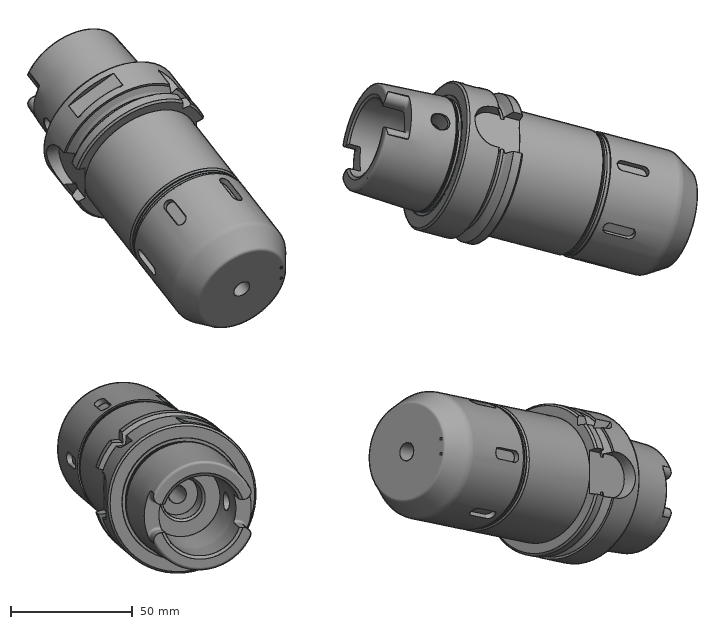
import cadquery as cq
import math


total_length = 142.0
through_hole_d = 7.5

flange_start = 32.0
shank_end_r = 22.9
shank_taper = 0.05
shank_end_fillet = 1.1
root_groove_start = 30.0
root_groove_depth = 0.5
root_groove_floor_length = 0.4
root_land_r = 24.1
face_relief_r = 25.5
face_relief_depth = 0.4

bore_mouth_r = 18.2
bore_r = 16.9
mouth_chamfer_length = 0.7
bore_straight_end = 13.2
bore_floor_x = 31.2
bore_floor_r = 15.8
tube_seat_mouth_r = 9.5
tube_seat_r = 8.5
tube_seat_chamfer = 1.0
tube_seat_depth = 8.5

drive_slot_half_width = 6.0
drive_slot_front_depth = 10.1
drive_slot_back_depth = 6.0
drive_slot_lip_r = 3.1
drive_slot_floor_fillet = 1.1

shank_hole_d = 7.5
shank_hole_mouth_d = 8.5
shank_hole_x = 22.9

flange_r = 31.5
flange_width = 26.0
flange_end = flange_start + flange_width
flange_front_chamfer = 0.9
flange_rear_chamfer = 0.9
groove_left = 46.9
groove_right = 53.4
groove_lip_depth = 1.0
groove_shoulder_r = 28.1
groove_floor_r = 27.3
groove_flank_left = 1.5
groove_flank_right = 1.8
groove_floor_left = 49.4
groove_floor_right = 50.7

keyway_half_width = 9.0
keyway_floor_y = 26.3
keyway_end_x = 36.0
keyway_draft = 10.0

notch_floor_y = 19.9
notch_wall_z = 20.3

flat_start = 35.8
flat_end = 43.5
flat_distance = 29.4
flat_tilt = 21.8

body_d = 53.0
body_r = body_d / 2
body_end = 96.4
body_chamfer = 0.7
gap_end = 97.0
gap_r = 23.3
spigot_r = 19.9
spigot_end = 127.8

collar_r = 26.0
collar_end = 99.4
collar_step_x = 98.0
collar_step_depth = 0.1
nose_start = 131.8
nose_angle = 30.0
nose_shoulder_fillet = 4.5
nose_face_fillet = 1.4
stud_height = 0.1
nose_face_x = total_length - stud_height
stud_d = 1.1
stud_y = 18.6
stud_z = 3.1

wrench_slot_count = 6
wrench_slot_start = 102.4
wrench_slot_end = 116.7
wrench_slot_width = 4.8
wrench_slot_floor_r = 24.1

clearance = 14.2
selection_margin = 0.1


def revolve_about_x(points):
    """Solid of revolution from (x, radius) points that start and end on the axis."""
    return cq.Workplane("XY").polyline(points).close().revolve(360, (0, 0, 0), (1, 0, 0))


def cylinder_along_x(radius, start, end):
    return cq.Workplane("YZ", origin=(start, 0, 0)).circle(radius).extrude(end - start)


def tapered_shank():
    taper_end_r = shank_end_r + shank_taper * root_groove_start
    groove_r = taper_end_r - root_groove_depth
    floor_start = root_groove_start + root_groove_depth
    floor_end = floor_start + root_groove_floor_length
    shank = revolve_about_x([
        (0, 0),
        (0, shank_end_r),
        (root_groove_start, taper_end_r),
        (floor_start, groove_r),
        (floor_end, groove_r),
        (floor_end + root_land_r - groove_r, root_land_r),
        (flange_start + face_relief_depth, root_land_r),
        (flange_start + face_relief_depth, 0),
    ])
    return shank.faces("<X").edges().fillet(shank_end_fillet)


def gripper_flange():
    lip_r = flange_r - groove_lip_depth
    flange = revolve_about_x([
        (flange_start + face_relief_depth, 0),
        (flange_start + face_relief_depth, face_relief_r),
        (flange_start, face_relief_r),
        (flange_start, flange_r - flange_front_chamfer),
        (flange_start + flange_front_chamfer, flange_r),
        (groove_left, flange_r),
        (groove_left, lip_r),
        (groove_left + groove_flank_left, groove_shoulder_r),
        (groove_floor_left, groove_floor_r),
        (groove_floor_right, groove_floor_r),
        (groove_right - groove_flank_right, groove_shoulder_r),
        (groove_right, flange_r),
        (flange_end - flange_rear_chamfer, flange_r),
        (flange_end, flange_r - flange_rear_chamfer),
        (flange_end, 0),
    ])
    for side in (-1, 1):
        flange = flange.cut(keyway_cutter(side))
    return flange.cut(notch_cutter()).cut(flat_cutter())


def round_ended_profile(y, center_z):
    """Slot outline in a plane of constant y: round at the shank end, open past the flange."""
    arc_center_x = keyway_end_x + keyway_half_width
    open_end = flange_end + clearance
    return (
        cq.Workplane("XZ", origin=(0, y, 0))
        .moveTo(open_end, center_z - keyway_half_width)
        .lineTo(arc_center_x, center_z - keyway_half_width)
        .threePointArc((keyway_end_x, center_z), (arc_center_x, center_z + keyway_half_width))
        .lineTo(open_end, center_z + keyway_half_width)
        .close()
    )


def keyway_cutter(side):
    """Keyway on the +Y or -Y side; its walls open outward by the draft angle."""
    cutter = round_ended_profile(-keyway_floor_y, 0).extrude(clearance, taper=-keyway_draft)
    if side > 0:
        cutter = cutter.mirror("XZ")
    return cutter


def notch_cutter():
    profile = round_ended_profile(notch_floor_y, notch_wall_z + keyway_half_width)
    return profile.extrude(-clearance)


def flat_cutter():
    cutter = cq.Workplane("XY").box(
        flat_end - flat_start, 2 * flange_r, clearance, centered=(False, True, False)
    )
    return cutter.translate((flat_start, 0, flat_distance)).rotate((0, 0, 0), (1, 0, 0), flat_tilt)


def body_and_spigot():
    return revolve_about_x([
        (flange_start + face_relief_depth, 0),
        (flange_start + face_relief_depth, spigot_r),
        (flange_end, spigot_r),
        (flange_end, body_r),
        (body_end - body_chamfer, body_r),
        (body_end, body_r - body_chamfer),
        (body_end, gap_r),
        (gap_end, gap_r),
        (gap_end, spigot_r),
        (spigot_end, spigot_r),
        (spigot_end, 0),
    ])


def shank_bore():
    return revolve_about_x([
        (0, 0),
        (0, bore_mouth_r),
        (mouth_chamfer_length, bore_r),
        (bore_straight_end, bore_r),
        (bore_floor_x, bore_floor_r),
        (bore_floor_x, tube_seat_mouth_r),
        (bore_floor_x + tube_seat_chamfer, tube_seat_r),
        (bore_floor_x + tube_seat_depth, tube_seat_r),
        (bore_floor_x + tube_seat_depth, 0),
    ])


def drive_slot_cutter(side, depth):
    """Slot in the shank end whose walls flare outward through rounded lips."""
    half = drive_slot_half_width
    lip_center_z = half + drive_slot_lip_r
    lip_center_dist = shank_end_r - drive_slot_lip_r
    lip_center_y = math.sqrt(lip_center_dist**2 - lip_center_z**2)
    lip_angle = math.atan2(lip_center_z, lip_center_y)
    lip_end = (shank_end_r * math.cos(lip_angle), shank_end_r * math.sin(lip_angle))
    mid_angle = (lip_angle - math.pi / 2) / 2
    lip_mid = (
        lip_center_y + drive_slot_lip_r * math.cos(mid_angle),
        lip_center_z + drive_slot_lip_r * math.sin(mid_angle),
    )
    outer_y = shank_end_r + clearance
    cutter = (
        cq.Workplane("YZ")
        .moveTo(0, -half)
        .lineTo(lip_center_y, -half)
        .threePointArc((lip_mid[0], -lip_mid[1]), (lip_end[0], -lip_end[1]))
        .lineTo(outer_y, -lip_end[1])
        .lineTo(outer_y, lip_end[1])
        .lineTo(*lip_end)
        .threePointArc(lip_mid, (lip_center_y, half))
        .lineTo(0, half)
        .close()
        .extrude(depth)
    )
    floor_walls = cq.selectors.BoxSelector(
        (depth - selection_margin, selection_margin, -shank_end_r),
        (depth + selection_margin, shank_end_r - selection_margin, shank_end_r),
    )
    cutter = cutter.edges(floor_walls).fillet(drive_slot_floor_fillet)
    if side < 0:
        cutter = cutter.mirror("XZ")
    return cutter


def shank_hole_cutter():
    """Radial hole into the bore with a 45 degree countersink."""
    surface_r = shank_end_r + shank_taper * shank_hole_x
    hole_r = shank_hole_d / 2
    mouth_r = shank_hole_mouth_d / 2
    sink_depth = mouth_r - hole_r
    outline = [
        (0, 0),
        (hole_r, 0),
        (hole_r, sink_depth - surface_r),
        (mouth_r, -surface_r),
        (mouth_r, -surface_r - clearance),
        (0, -surface_r - clearance),
    ]
    cutter = cq.Workplane("XY").polyline(outline).close().revolve(360, (0, 0, 0), (0, 1, 0))
    return cutter.translate((shank_hole_x, 0, 0))


def make_holder():
    holder = tapered_shank().union(gripper_flange()).union(body_and_spigot())
    holder = holder.cut(shank_bore())
    holder = holder.cut(drive_slot_cutter(-1, drive_slot_front_depth))
    holder = holder.cut(drive_slot_cutter(1, drive_slot_back_depth))
    holder = holder.cut(shank_hole_cutter())
    return holder.cut(cylinder_along_x(through_hole_d / 2, 0, total_length))


def nut_blank():
    nose_drop = (nose_face_x - nose_start) * math.tan(math.radians(nose_angle))
    face_r = body_r - nose_drop
    blank = revolve_about_x([
        (gap_end, 0),
        (gap_end, collar_r),
        (collar_step_x, collar_r),
        (collar_step_x, collar_r - collar_step_depth),
        (collar_end, collar_r - collar_step_depth),
        (collar_end, body_r),
        (nose_start, body_r),
        (nose_face_x, face_r),
        (nose_face_x, 0),
    ])
    blank = blank.faces(">X").edges().fillet(nose_face_fillet)
    shoulder = cq.selectors.BoxSelector(
        (nose_start - selection_margin, -flange_r, -flange_r),
        (nose_start + selection_margin, flange_r, flange_r),
    )
    return blank.edges(shoulder).fillet(nose_shoulder_fillet)


def wrench_slot_cutter():
    length = wrench_slot_end - wrench_slot_start
    center_x = (wrench_slot_start + wrench_slot_end) / 2
    return (
        cq.Workplane("XY", origin=(center_x, 0, wrench_slot_floor_r))
        .slot2D(length, wrench_slot_width)
        .extrude(clearance)
    )


def face_studs():
    """Two small studs standing on the nose face."""
    studs = cq.Workplane("YZ", origin=(nose_face_x - stud_height, 0, 0))
    studs = studs.pushPoints([(stud_y, -stud_z), (stud_y, stud_z)])
    return studs.circle(stud_d / 2).extrude(2 * stud_height)


def make_nut():
    nut = nut_blank().union(face_studs())
    for index in range(wrench_slot_count):
        angle = 90 + index * 360 / wrench_slot_count
        nut = nut.cut(wrench_slot_cutter().rotate((0, 0, 0), (1, 0, 0), angle))
    nut = nut.cut(cylinder_along_x(spigot_r, gap_end, spigot_end))
    return nut.cut(cylinder_along_x(through_hole_d / 2, gap_end, total_length))


holder = make_holder()
nut = make_nut()
result = cq.Compound.makeCompound([holder.solids().val(), nut.solids().val()])